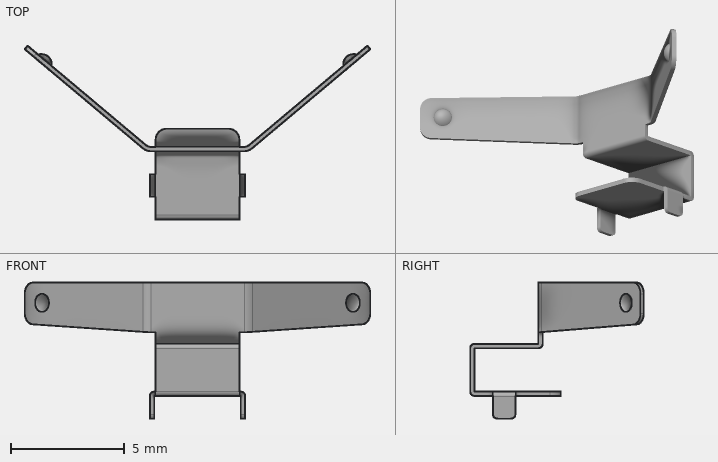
import cadquery as cq
import math

thickness = 0.2
height = 6.0
overall_width = 15.22

strap_width = 3.7
base_length = 4.0
base_bottom = 1.0
base_corner_radius = 0.5
shelf_top = 3.3
plate_front = 3.0
fold_radius = thickness

tab_start = 1.0
tab_width = 1.0
tab_gap = 0.05
tab_corner_radius = 0.2

wing_angle = 40.0
wing_taper_angle = 3.0
wing_bend_start = 2.05
wing_bend_radius = 0.55
wing_root_height = 2.2
wing_corner_radius = 0.5

dimple_diameter = 0.8
dimple_depth = 0.22
dimple_to_tip = 1.0
dimple_below_top = 0.9

base_top = base_bottom + thickness
shelf_bottom = shelf_top - thickness
plate_back = plate_front + thickness
wing_bottom = height - wing_root_height
wing_cos = math.cos(math.radians(wing_angle))
wing_sin = math.sin(math.radians(wing_angle))
wing_start_x = wing_bend_start + wing_bend_radius * wing_sin
wing_start_y = plate_front + wing_bend_radius * (1 - wing_cos)
wing_length = (overall_width / 2 - wing_start_x) / wing_cos
bend_span = wing_bend_radius * wing_sin


def make_strap():
    """Base, front wall, shelf and back plate as one folded section."""
    section = (
        cq.Workplane("YZ")
        .moveTo(base_length, base_bottom)
        .lineTo(fold_radius, base_bottom)
        .radiusArc((0, base_bottom + fold_radius), fold_radius)
        .lineTo(0, shelf_top - fold_radius)
        .radiusArc((fold_radius, shelf_top), fold_radius)
        .lineTo(plate_front, shelf_top)
        .lineTo(plate_front, height)
        .lineTo(plate_back, height)
        .lineTo(plate_back, shelf_bottom + fold_radius)
        .radiusArc((plate_back - fold_radius, shelf_bottom), fold_radius)
        .lineTo(thickness, shelf_bottom)
        .lineTo(thickness, base_top)
        .lineTo(base_length, base_top)
        .close()
    )
    strap = section.extrude(strap_width / 2, both=True)
    base_end = cq.selectors.BoxSelector(
        (-strap_width, base_length - thickness, 0),
        (strap_width, base_length + thickness, base_top),
    )
    return strap.edges("|Z").edges(base_end).fillet(base_corner_radius)


def make_tab():
    """Tab on the +X side of the base, folded downwards."""
    inner_x = strap_width / 2 + tab_gap
    tab = (
        cq.Workplane("XZ", origin=(0, tab_start, 0))
        .moveTo(inner_x - thickness, base_top)
        .lineTo(inner_x + thickness - fold_radius, base_top)
        .radiusArc((inner_x + thickness, base_top - fold_radius), fold_radius)
        .lineTo(inner_x + thickness, 0)
        .lineTo(inner_x, 0)
        .lineTo(inner_x, base_bottom)
        .lineTo(inner_x - thickness, base_bottom)
        .close()
        .extrude(-tab_width)
    )
    return tab.faces("<Z").edges("|X").fillet(tab_corner_radius)


def make_wing():
    """Bend and tapered wing on the +X side, with its dimple."""
    inner_radius = wing_bend_radius - thickness
    inner_start = (wing_start_x - thickness * wing_sin, wing_start_y + thickness * wing_cos)
    reach = (wing_length * wing_cos, wing_length * wing_sin)
    wing = (
        cq.Workplane("XY", origin=(0, 0, wing_bottom))
        .moveTo(strap_width / 2, plate_front)
        .lineTo(wing_bend_start, plate_front)
        .radiusArc((wing_start_x, wing_start_y), -wing_bend_radius)
        .lineTo(wing_start_x + reach[0], wing_start_y + reach[1])
        .lineTo(inner_start[0] + reach[0], inner_start[1] + reach[1])
        .lineTo(*inner_start)
        .radiusArc((wing_bend_start, plate_back), inner_radius)
        .lineTo(strap_width / 2, plate_back)
        .close()
        .extrude(wing_root_height)
    )

    wing_plane = cq.Plane(
        origin=(wing_start_x, wing_start_y, height),
        xDir=(wing_cos, wing_sin, 0),
        normal=(wing_sin, -wing_cos, 0),
    )
    taper_rise = (wing_length + bend_span) * math.tan(math.radians(wing_taper_angle))
    taper = (
        cq.Workplane(wing_plane)
        .moveTo(-bend_span, -wing_root_height)
        .lineTo(wing_length, -wing_root_height)
        .lineTo(wing_length, -wing_root_height + taper_rise)
        .close()
        .extrude(wing_bend_radius, both=True)
    )
    wing = wing.cut(taper)
    tip_face = cq.selectors.DirectionMinMaxSelector(cq.Vector(wing_cos, wing_sin, 0))
    tip_corners = cq.selectors.ParallelDirSelector(cq.Vector(-wing_sin, wing_cos, 0))
    wing = wing.faces(tip_face).edges(tip_corners).fillet(wing_corner_radius)
    return add_dimple(wing, wing_plane)


def add_dimple(wing, wing_plane):
    """Spherical dimple: hollow on the outer face, equal dome on the inner face."""
    rim_radius = dimple_diameter / 2
    hollow_radius = (rim_radius**2 + dimple_depth**2) / (2 * dimple_depth)
    center_offset = hollow_radius - dimple_depth
    dimple = cq.Workplane(wing_plane).center(wing_length - dimple_to_tip, -dimple_below_top)
    hollow = dimple.workplane(offset=center_offset).sphere(hollow_radius)
    wing_side = dimple.rect(dimple_diameter, dimple_diameter).extrude(-dimple_diameter)
    dome = hollow.translate(wing_plane.zDir * -thickness).intersect(wing_side)
    return wing.union(dome).cut(hollow)


def mirrored_pair(body):
    """The +X body together with its mirror image."""
    return body.union(body.mirror("YZ"))


result = make_strap().union(mirrored_pair(make_tab())).union(mirrored_pair(make_wing()))